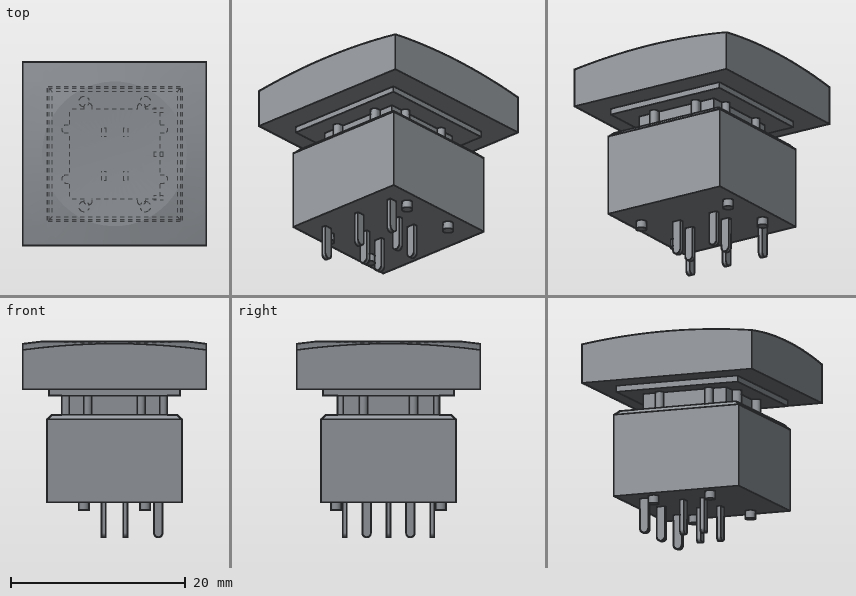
import cadquery as cq
import math

BODY_SIZE = 15.45
BODY_HEIGHT = 9.5

PLATE_SIZE = 15.35
PLATE_HEIGHT = 0.5

NECK_SIZE = 10.3
NECK_HEIGHT = 2.2
RIB_WIDTH = 0.95
SIDE_RIB_REACH = 6.05
SIDE_RIB_OFFSET = 2.86
END_RIB_REACH = 5.83
END_RIB_OFFSET = 3.05

FLANGE_SIZE = 15.0
FLANGE_HEIGHT = 0.7
CAP_SIZE = 21.0
RIM_HEIGHT = 18.4
DOME_RADIUS = 78.0
DISH_DIAMETER = 16.55
DISH_DEPTH = 0.2

PEG_DIAMETER = 1.2
PEG_LENGTH = 0.9
PEG_X = 3.5
PEG_Y = 6.0

TERMINAL_WIDTH = 1.0
TERMINAL_THICKNESS = 0.5
TERMINAL_LENGTH = 4.0
CONTACT_ROW_X = 5.0
CONTACT_PITCH = 5.0
LAMP_X = 1.25
LAMP_Y = 2.5

OVERLAP = 0.5

PLATE_TOP = BODY_HEIGHT + PLATE_HEIGHT
NECK_TOP = PLATE_TOP + NECK_HEIGHT
CAP_BOTTOM = NECK_TOP + FLANGE_HEIGHT
DISH_RADIUS = DISH_DIAMETER / 2


def square_block(size, bottom, top):
    return cq.Workplane("XY").workplane(offset=bottom).rect(size, size).extrude(top - bottom)


def make_plate():
    """Plate whose upper edges are bevelled at 45 degrees over its full height."""
    plate = cq.Workplane("XY").workplane(offset=BODY_HEIGHT).rect(PLATE_SIZE, PLATE_SIZE)
    return plate.extrude(PLATE_HEIGHT, taper=45)


def make_rib(reach, offset, angle):
    """Rib running from the core out to a round nose, turned about Z by the given angle."""
    length = 2 * OVERLAP + reach - NECK_SIZE / 2 + RIB_WIDTH / 2
    rib = cq.Workplane("XY").slot2D(length, RIB_WIDTH).extrude(NECK_HEIGHT)
    rib = rib.translate((reach - length / 2, offset, PLATE_TOP))
    return rib.rotate((0, 0, 0), (0, 0, 1), angle)


def make_neck():
    neck = square_block(NECK_SIZE, PLATE_TOP, NECK_TOP)
    for side in (-1, 1):
        for angle in (0, 180):
            neck = neck.union(make_rib(SIDE_RIB_REACH, side * SIDE_RIB_OFFSET, angle))
            neck = neck.union(make_rib(END_RIB_REACH, side * END_RIB_OFFSET, angle + 90))
    return neck


def make_cap():
    """Square cap with a domed top and a spherical finger dish whose rim is the highest line."""
    dome_centre = RIM_HEIGHT - math.sqrt(DOME_RADIUS**2 - DISH_RADIUS**2)
    dish_radius_of_curvature = (DISH_RADIUS**2 + DISH_DEPTH**2) / (2 * DISH_DEPTH)
    dish_centre = RIM_HEIGHT - DISH_DEPTH + dish_radius_of_curvature
    dome_top = dome_centre + DOME_RADIUS

    cap = square_block(CAP_SIZE, CAP_BOTTOM, dome_top + OVERLAP)
    cap = cap.intersect(cq.Workplane("XY").sphere(DOME_RADIUS).translate((0, 0, dome_centre)))
    dish = cq.Workplane("XY").sphere(dish_radius_of_curvature).translate((0, 0, dish_centre))
    return cap.cut(dish)


def make_peg(x, y):
    peg = cq.Workplane("XY").circle(PEG_DIAMETER / 2).extrude(-PEG_LENGTH)
    return peg.translate((x, y, 0))


def make_terminal(x, y, angle):
    """Flat terminal with a round tip; at angle 0 its broad faces look along Y."""
    half_width = TERMINAL_WIDTH / 2
    tip_start = half_width - TERMINAL_LENGTH
    blade = (
        cq.Workplane("XZ")
        .moveTo(-half_width, 0)
        .lineTo(-half_width, tip_start)
        .threePointArc((0, -TERMINAL_LENGTH), (half_width, tip_start))
        .lineTo(half_width, 0)
        .close()
        .extrude(TERMINAL_THICKNESS / 2, both=True)
    )
    return blade.rotate((0, 0, 0), (0, 0, 1), angle).translate((x, y, 0))


result = square_block(BODY_SIZE, 0, BODY_HEIGHT).union(make_plate())
result = result.union(make_neck())
result = result.union(square_block(FLANGE_SIZE, NECK_TOP, CAP_BOTTOM))
result = result.union(make_cap())

for x_side in (-1, 1):
    for y_side in (-1, 1):
        result = result.union(make_peg(x_side * PEG_X, y_side * PEG_Y))
        result = result.union(make_terminal(x_side * LAMP_X, y_side * LAMP_Y, 90))

for row in (-1, 0, 1):
    result = result.union(make_terminal(CONTACT_ROW_X, row * CONTACT_PITCH, 0))